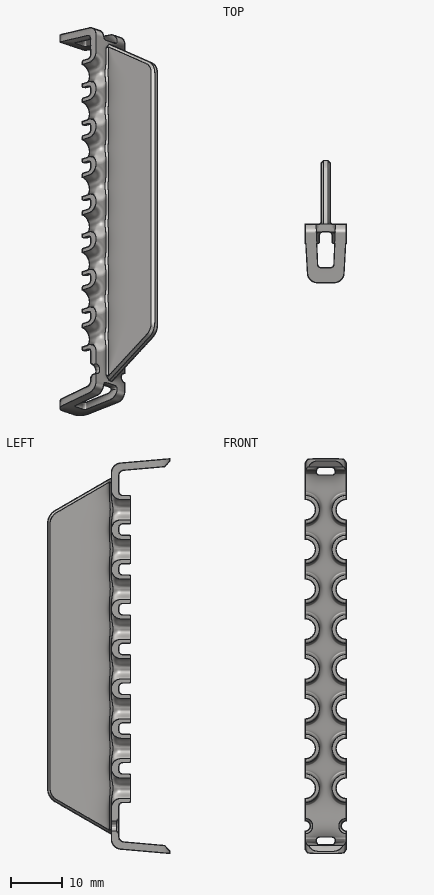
import cadquery as cq
import math

WIDTH = 8.1
HEIGHT = 77.41
SHEET = 1.5
HALF_WIDTH = WIDTH / 2

LEG_REACH = 11.5
LEG_SPLAY = 5.0
BEND_INNER_RADIUS = 1.0
BEND_OUTER_RADIUS = 2.0
LEG_TIP_WIDTH = 7.0
LEG_TAPER_START = 1.5
LEG_CORNER_RADIUS = 2.0
LEG_TIP_CHAMFER = 1.05

SLOT_ROOT_WIDTH = 3.8
SLOT_TIP_WIDTH = 3.1
SLOT_TIP_Y = -8.5
SLOT_TIP_RADIUS = 0.6
SLOT_ROOT_Z = 35.5
SLOT_ROOT_RADIUS = 0.7

COLLAR_COUNT = 8
COLLAR_PITCH = 7.8
COLLAR_CENTRE_Z = 1.4
COLLAR_BORE_RADIUS = 2.0
COLLAR_WALL = 0.8
COLLAR_REACH = 3.8
COLLAR_FLARE_RADIUS = 1.9
COLLAR_ROOT_FILLET = 0.75
COLLAR_RIM_FILLET = 0.3

NOTCH_Z = -33.3
NOTCH_RADIUS = 1.0
NOTCH_COUNTERSINK = 0.5

BLADE_THICKNESS = 1.8
BLADE_REACH = 12.5
BLADE_ROOT_HALF_HEIGHT = 34.9
BLADE_SLOPE = 30.0
BLADE_CORNER_RADIUS = 3.0
BLADE_EDGE_CHAMFER = 0.5
BLADE_ROOT_CHAMFER = 0.35

CUT_MARGIN = 1.0
PICK_SLACK = 0.01


def side_plane(x):
    """Sketch plane at the given X, with sketch axes along Y and Z."""
    return cq.Workplane("YZ", origin=(x, 0, 0))


def folded_strip():
    """Strip and both legs as one bent sheet, still at full width."""
    rise = math.tan(math.radians(LEG_SPLAY))
    face_height = SHEET / math.cos(math.radians(LEG_SPLAY))
    tip_z = HEIGHT / 2
    root_z = tip_z - LEG_REACH * rise
    inner_root_z = root_z - face_height + SHEET * rise
    chamfer_start_z = tip_z - face_height - LEG_TIP_CHAMFER * rise
    end_face_z = tip_z - face_height + LEG_TIP_CHAMFER
    upper = [
        (0, root_z),
        (-LEG_REACH, tip_z),
        (-LEG_REACH, end_face_z),
        (-LEG_REACH + LEG_TIP_CHAMFER, chamfer_start_z),
        (-SHEET, inner_root_z),
    ]
    lower = [(y, -z) for y, z in reversed(upper)]
    strip = side_plane(-HALF_WIDTH).polyline(upper + lower).close().extrude(WIDTH)
    for z in (root_z, -root_z):
        strip = strip.edges(cq.NearestToPointSelector((0, 0, z))).fillet(BEND_OUTER_RADIUS)
    for z in (inner_root_z, -inner_root_z):
        strip = strip.edges(cq.NearestToPointSelector((0, -SHEET, z))).fillet(BEND_INNER_RADIUS)
    return strip


def leg_outline():
    """Prism along Z that tapers the legs and rounds their tip corners."""
    half_tip = LEG_TIP_WIDTH / 2
    return (
        cq.Workplane("XY", origin=(0, 0, -HEIGHT / 2 - CUT_MARGIN))
        .polyline([
            (-HALF_WIDTH, CUT_MARGIN),
            (-HALF_WIDTH, -LEG_TAPER_START),
            (-half_tip, -LEG_REACH),
            (half_tip, -LEG_REACH),
            (HALF_WIDTH, -LEG_TAPER_START),
            (HALF_WIDTH, CUT_MARGIN),
        ])
        .close()
        .extrude(HEIGHT + 2 * CUT_MARGIN)
        .edges("|Z and <Y")
        .fillet(LEG_CORNER_RADIUS)
    )


def leg_slot():
    """Tapered slot of the upper leg, running through the bend into the strip."""
    top_z = HEIGHT / 2 + CUT_MARGIN
    half_root = SLOT_ROOT_WIDTH / 2
    half_tip = SLOT_TIP_WIDTH / 2
    plan = (
        cq.Workplane("XY", origin=(0, 0, SLOT_ROOT_Z))
        .polyline([(-half_root, 0), (-half_tip, SLOT_TIP_Y), (half_tip, SLOT_TIP_Y), (half_root, 0)])
        .close()
        .extrude(top_z - SLOT_ROOT_Z)
        .edges("|Z and <Y")
        .fillet(SLOT_TIP_RADIUS)
    )
    rounded_root = (
        cq.Workplane("XY", origin=(0, 0, SLOT_ROOT_Z))
        .rect(SLOT_ROOT_WIDTH, 2 * LEG_REACH)
        .extrude(top_z - SLOT_ROOT_Z)
        .edges("|Y and <Z")
        .fillet(SLOT_ROOT_RADIUS)
    )
    return plan.intersect(rounded_root)


def arc_middle(centre, radius, angle):
    """Point on a circle at the given angle in degrees."""
    turn = math.radians(angle)
    return (centre[0] + radius * math.cos(turn), centre[1] + radius * math.sin(turn))


def revolved(profile):
    """Revolve a profile of radius against Y about the Y axis."""
    return profile.close().revolve(360, (0, 0, 0), (0, 1, 0))


def collar_boss():
    """Solid with the outer shape of a collar: root fillet, straight wall and rounded rim."""
    wall = COLLAR_BORE_RADIUS + COLLAR_WALL
    root = (wall + COLLAR_ROOT_FILLET, -SHEET - COLLAR_ROOT_FILLET)
    rim = (wall - COLLAR_RIM_FILLET, -COLLAR_REACH + COLLAR_RIM_FILLET)
    return revolved(
        cq.Workplane("XY")
        .moveTo(0, -SHEET / 2)
        .lineTo(root[0], -SHEET / 2)
        .lineTo(root[0], -SHEET)
        .threePointArc(arc_middle(root, COLLAR_ROOT_FILLET, 135), (wall, root[1]))
        .lineTo(wall, rim[1])
        .threePointArc(arc_middle(rim, COLLAR_RIM_FILLET, -45), (rim[0], -COLLAR_REACH))
        .lineTo(0, -COLLAR_REACH)
    )


def collar_bore():
    """Cutter for the inside of a collar: straight bore flaring out to the back face."""
    flare = (COLLAR_BORE_RADIUS + COLLAR_FLARE_RADIUS, -COLLAR_FLARE_RADIUS)
    return revolved(
        cq.Workplane("XY")
        .lineTo(flare[0], 0)
        .threePointArc(arc_middle(flare, COLLAR_FLARE_RADIUS, 135), (COLLAR_BORE_RADIUS, flare[1]))
        .lineTo(COLLAR_BORE_RADIUS, -COLLAR_REACH - CUT_MARGIN)
        .lineTo(0, -COLLAR_REACH - CUT_MARGIN)
    )


def notch_cutter():
    """Through hole with a countersink on the front face."""
    mouth = NOTCH_RADIUS + NOTCH_COUNTERSINK
    return revolved(
        cq.Workplane("XY")
        .moveTo(0, CUT_MARGIN)
        .lineTo(NOTCH_RADIUS, CUT_MARGIN)
        .lineTo(NOTCH_RADIUS, -SHEET + NOTCH_COUNTERSINK)
        .lineTo(mouth, -SHEET)
        .lineTo(0, -SHEET)
    )


def blade():
    """Trapezoid blade with rounded outer corners and chamfered free edges, rooted in the strip."""
    tip_half_height = BLADE_ROOT_HALF_HEIGHT - BLADE_REACH * math.tan(math.radians(BLADE_SLOPE))
    root_depth = SHEET / 2
    body = (
        side_plane(-BLADE_THICKNESS / 2)
        .polyline([
            (0, -BLADE_ROOT_HALF_HEIGHT),
            (BLADE_REACH, -tip_half_height),
            (BLADE_REACH, tip_half_height),
            (0, BLADE_ROOT_HALF_HEIGHT),
        ])
        .close()
        .extrude(BLADE_THICKNESS)
        .edges("|X and >Y")
        .fillet(BLADE_CORNER_RADIUS)
    )
    body = body.faces("<X or >X").edges("not <Y").chamfer(BLADE_EDGE_CHAMFER)
    root = (
        cq.Workplane("XY")
        .box(BLADE_THICKNESS, root_depth, 2 * BLADE_ROOT_HALF_HEIGHT)
        .translate((0, -root_depth / 2, 0))
    )
    return body.union(root)


def blade_root_corners():
    """Selector for the corners along both blade sides, which dip into the collar flares."""
    half_thickness = BLADE_THICKNESS / 2
    boxes = [
        cq.selectors.BoxSelector(
            (x - PICK_SLACK, -SHEET / 2, -HEIGHT / 2),
            (x + PICK_SLACK, PICK_SLACK, HEIGHT / 2),
            boundingbox=True,
        )
        for x in (-half_thickness, half_thickness)
    ]
    return boxes[0] + boxes[1]


def holder():
    """Strip with legs, slots, collars, notches and blade."""
    part = folded_strip().intersect(leg_outline())
    slot = leg_slot()
    part = part.cut(slot).cut(slot.mirror("XY"))

    first_z = COLLAR_CENTRE_Z - COLLAR_PITCH * (COLLAR_COUNT - 1) / 2
    spots = [
        (x, 0, first_z + COLLAR_PITCH * i)
        for x in (-HALF_WIDTH, HALF_WIDTH)
        for i in range(COLLAR_COUNT)
    ]
    within_width = cq.Workplane("XY").box(WIDTH, 4 * COLLAR_REACH, HEIGHT)
    for spot in spots:
        part = part.union(collar_boss().translate(spot).intersect(within_width))
    for spot in spots:
        part = part.cut(collar_bore().translate(spot))
    for x in (-HALF_WIDTH, HALF_WIDTH):
        part = part.cut(notch_cutter().translate((x, 0, NOTCH_Z)))
    part = part.union(blade())
    return part.edges(blade_root_corners()).chamfer(BLADE_ROOT_CHAMFER)


result = holder()